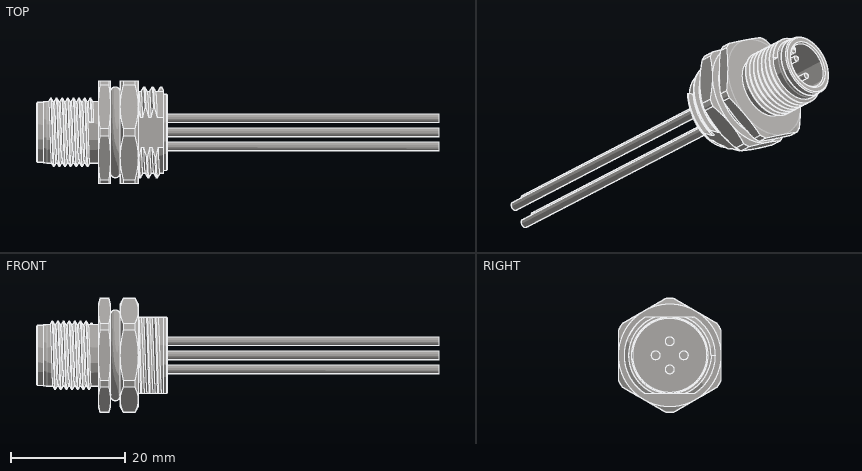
import cadquery as cq
import math


total_length = 70.5
nose_end = 1.3
taper_end = 1.8
flange_start = 10.85
flange_end = 13.0
nut_start = 14.65
nut_end = 17.85
body_end = 23.0

nose_radius = 5.3
nose_chamfer = 0.2
taper_radius = 5.35
barrel_radius = 5.4
cavity_radius = 4.0
cavity_depth = 8.45
cavity_chamfer = 0.3

front_crest_radius = 6.0
front_pitch = 1.0
front_thread_start = 2.55
front_thread_turns = 7.2

shank_radius = 7.2
shank_end = 22.3
collar_radius = 6.7
collar_chamfer = 0.2
shank_flat_offset = collar_radius
rear_crest_radius = 8.0
rear_pitch = 1.5
rear_thread_start = 16.65
rear_thread_turns = 3.5

thread_flank_angle = math.radians(30)
crest_width_ratio = 0.125
thread_root_sink = 0.1

hex_across_flats = 18.0
hex_corner_radius = 10.0
hex_face_radius = hex_across_flats / 2
flange_bevel = 0.3
nut_bevel = 0.55

seal_radius = 8.0

contact_circle_radius = 2.5
contact_angles = (0, 90, 180, 270)
contact_radius = 0.5
contact_tip = 2.5
contact_tip_chamfer = 0.4
key_tip_chamfer = 0.4
key_start = 0.8
key_tip_radius = 2.9
key_width = 1.3
key_angle = 45
wire_radius = 0.8


def cylinder(start, end, radius, y=0.0, z=0.0):
    """Solid cylinder parallel to X."""
    return cq.Workplane("YZ", origin=(start, 0, 0)).center(y, z).circle(radius).extrude(end - start)


def revolve_about_x(outline):
    """Solid of revolution from an outline of (x, radius) points."""
    return cq.Workplane("XY").polyline(outline).close().revolve(360, (0, 0, 0), (1, 0, 0))


def contact_centre(angle):
    turn = math.radians(angle)
    return contact_circle_radius * math.cos(turn), contact_circle_radius * math.sin(turn)


def thread(start, pitch, turns, root_radius, crest_radius, start_angle):
    """Right-hand helical ridge, its root sunk slightly into the core; angle 0 is -Z, 90 is +Y."""
    inner_radius = root_radius - thread_root_sink
    half_crest = pitch * crest_width_ratio / 2
    half_root = half_crest + (crest_radius - inner_radius) * math.tan(thread_flank_angle)
    path = cq.Wire.makeHelix(pitch, pitch * turns, inner_radius)
    ridge = (
        cq.Workplane("XZ")
        .polyline([
            (inner_radius, -half_root),
            (crest_radius, -half_crest),
            (crest_radius, half_crest),
            (inner_radius, half_root),
        ])
        .close()
        .sweep(cq.Workplane(path), isFrenet=True)
    )
    ridge = ridge.rotate((0, 0, 0), (0, 0, 1), start_angle)
    return ridge.rotate((0, 0, 0), (0, 1, 0), 90).translate((start, 0, 0))


def bevelled_hex(start, end, bevel):
    """Hexagon with flats on +/-Y, corners turned down and both faces bevelled to the flats."""
    corner_diameter = hex_across_flats / math.cos(math.pi / 6)
    prism = (
        cq.Workplane("YZ", origin=(start, 0, 0))
        .polygon(6, corner_diameter)
        .extrude(end - start)
        .rotate((0, 0, 0), (1, 0, 0), 30)
    )
    envelope = revolve_about_x([
        (start, 0),
        (start, hex_face_radius),
        (start + bevel, hex_corner_radius),
        (end - bevel, hex_corner_radius),
        (end, hex_face_radius),
        (end, 0),
    ])
    return prism.intersect(envelope)


def front_barrel():
    barrel = revolve_about_x([
        (0, 0),
        (0, nose_radius - nose_chamfer),
        (nose_chamfer, nose_radius),
        (nose_end, nose_radius),
        (nose_end, taper_radius),
        (taper_end, barrel_radius),
        (flange_start, barrel_radius),
        (flange_start, 0),
    ])
    ridge = thread(front_thread_start, front_pitch, front_thread_turns,
                   barrel_radius, front_crest_radius, 90)
    cavity = revolve_about_x([
        (0, 0),
        (0, cavity_radius + cavity_chamfer),
        (cavity_chamfer, cavity_radius),
        (cavity_depth, cavity_radius),
        (cavity_depth, 0),
    ])
    return barrel.union(ridge).cut(cavity)


def rear_shank():
    """Threaded shank with flats on +/-Z, closed by a smaller end collar."""
    shank = cylinder(flange_end, shank_end, shank_radius)
    ridge = thread(rear_thread_start, rear_pitch, rear_thread_turns,
                   shank_radius, rear_crest_radius, 270)
    flats = cq.Workplane("XY").box(
        shank_end - flange_end, 2 * hex_corner_radius, 2 * shank_flat_offset,
        centered=(False, True, True),
    ).translate((flange_end, 0, 0))
    collar = cylinder(shank_end, body_end, collar_radius).faces(">X").chamfer(collar_chamfer)
    return shank.union(ridge).intersect(flats).union(collar)


def seal():
    """Ring with a half-round outer edge filling the gap between flange and nut."""
    edge_radius = (nut_start - flange_end) / 2
    straight_radius = seal_radius - edge_radius
    return (
        cq.Workplane("XY")
        .moveTo(flange_end, 0)
        .lineTo(flange_end, straight_radius)
        .threePointArc((flange_end + edge_radius, seal_radius), (nut_start, straight_radius))
        .lineTo(nut_start, 0)
        .close()
        .revolve(360, (0, 0, 0), (1, 0, 0))
    )


def contact(angle):
    pin = cylinder(contact_tip, cavity_depth, contact_radius, *contact_centre(angle))
    return pin.faces("<X").chamfer(contact_tip_chamfer)


def coding_key():
    """Round-nosed rib on the cavity wall, between +Y and +Z."""
    nose_centre = key_tip_radius + key_width / 2
    wall_middle = (cavity_radius + nose_radius) / 2
    rib = cylinder(key_start, cavity_depth, key_width / 2, nose_centre)
    root = cq.Workplane("XY").box(
        cavity_depth - key_start, wall_middle - nose_centre, key_width, centered=(False, False, True)
    ).translate((key_start, nose_centre, 0))
    rib = rib.union(root).faces("<X").chamfer(key_tip_chamfer)
    return rib.rotate((0, 0, 0), (1, 0, 0), key_angle)


def wire(angle):
    return cylinder(body_end, total_length, wire_radius, *contact_centre(angle))


result = (
    front_barrel()
    .union(bevelled_hex(flange_start, flange_end, flange_bevel))
    .union(rear_shank())
    .union(seal())
    .union(bevelled_hex(nut_start, nut_end, nut_bevel))
    .union(coding_key())
)
for contact_angle in contact_angles:
    result = result.union(contact(contact_angle)).union(wire(contact_angle))